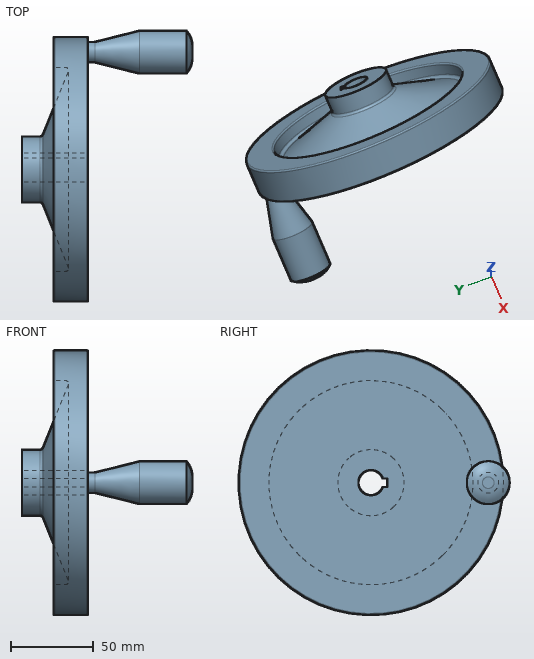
import cadquery as cq
import math


rim_diameter = 160.0
rim_inner_diameter = 123.28
rim_front_x = 19.0
rim_back_x = 40.0
rim_edge_radius = 1.0

hub_diameter = 40.0
hub_root_x = 12.2
web_angle = 22.0
web_fillet_radius = 1.775

bore_diameter = 15.0
keyway_width = 5.0
keyway_reach = 9.8

handle_diameter = 26.0
neck_diameter = 12.48
neck_length = 4.0
taper_length = 27.0
grip_length = 28.25
end_flat_diameter = 7.0
overall_length = 103.09

rim_radius = rim_diameter / 2
rim_inner_radius = rim_inner_diameter / 2
hub_radius = hub_diameter / 2
web_rim_x = hub_root_x + (rim_inner_radius - hub_radius) * math.tan(math.radians(web_angle))
handle_offset = (rim_radius + rim_inner_radius) / 2


def circles_at(body, x):
    """All circular edges of the body that lie in the plane at the given X."""
    margin = 0.01
    slab = cq.selectors.BoxSelector(
        (x - margin, -rim_diameter, -rim_diameter),
        (x + margin, rim_diameter, rim_diameter),
        boundingbox=True,
    )
    return body.edges(slab).edges("%CIRCLE")


def make_wheel():
    """Rim, web and hub turned about X, with rounded rim edges and web corners."""
    wheel = (
        cq.Workplane("XY")
        .lineTo(0, hub_radius)
        .lineTo(hub_root_x, hub_radius)
        .lineTo(web_rim_x, rim_inner_radius)
        .lineTo(rim_front_x, rim_inner_radius)
        .lineTo(rim_front_x, rim_radius)
        .lineTo(rim_back_x, rim_radius)
        .lineTo(rim_back_x, 0)
        .close()
        .revolve(360, (0, 0, 0), (1, 0, 0))
    )
    for corner_x in (hub_root_x, web_rim_x):
        wheel = circles_at(wheel, corner_x).fillet(web_fillet_radius)
    for face_x in (rim_front_x, rim_back_x):
        wheel = circles_at(wheel, face_x).fillet(rim_edge_radius)
    return wheel


def make_keyed_bore():
    """Through bore with a rectangular keyway on its +Y side."""
    bore = cq.Workplane("YZ").circle(bore_diameter / 2).extrude(rim_back_x)
    keyway = (
        cq.Workplane("YZ")
        .center(keyway_reach / 2, 0)
        .rect(keyway_reach, keyway_width)
        .extrude(rim_back_x)
    )
    return bore.union(keyway)


def make_handle():
    """Handle on the back of the rim: neck, taper, straight grip and rounded end."""
    neck_radius = neck_diameter / 2
    grip_radius = handle_diameter / 2
    neck_end_x = rim_back_x + neck_length
    taper_end_x = neck_end_x + taper_length
    end_flat_radius = end_flat_diameter / 2
    grip_end_x = taper_end_x + grip_length
    end_arc_height = overall_length - grip_end_x
    end_arc_width = grip_radius - end_flat_radius
    end_arc_radius = (end_arc_width**2 + end_arc_height**2) / (2 * end_arc_height)
    half_angle = math.asin(end_arc_width / end_arc_radius) / 2
    end_arc_middle = (
        overall_length - end_arc_radius * (1 - math.cos(half_angle)),
        end_flat_radius + end_arc_radius * math.sin(half_angle),
    )
    return (
        cq.Workplane("XY")
        .moveTo(rim_back_x, 0)
        .lineTo(rim_back_x, neck_radius)
        .lineTo(neck_end_x, neck_radius)
        .lineTo(taper_end_x, grip_radius)
        .lineTo(grip_end_x, grip_radius)
        .threePointArc(end_arc_middle, (overall_length, end_flat_radius))
        .lineTo(overall_length, 0)
        .close()
        .revolve(360, (0, 0, 0), (1, 0, 0))
        .translate((0, handle_offset, 0))
    )


result = make_wheel().cut(make_keyed_bore()).union(make_handle())